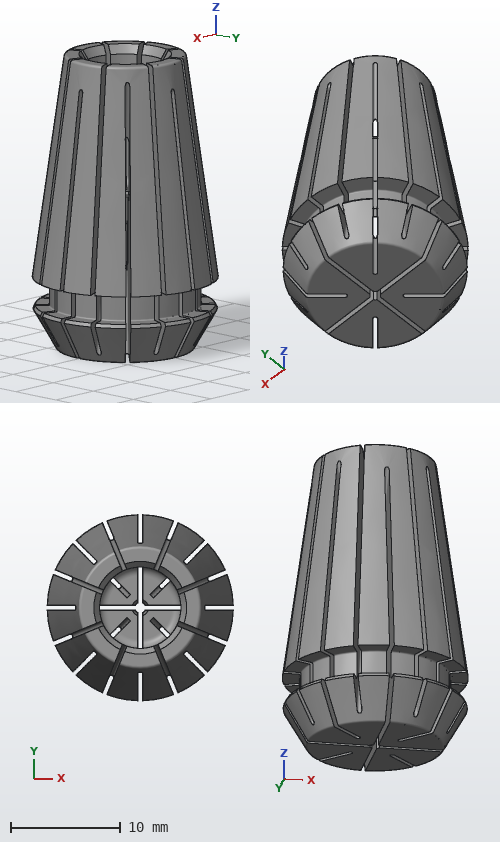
import cadquery as cq
import math


LENGTH = 27.5
BASE_RADIUS = 8.5
TAPER_ANGLE = 8.0
TAPER_BASE_Z = 6.68
NECK_RADIUS = 6.93
LIP_TOP_Z = 4.05
LIP_RADIUS = 8.42
LIP_EDGE_Z = 3.7
LIP_ANGLE = 30.0
EDGE_ROUND = 0.28
NECK_ROUND = 0.15

BORE_RADIUS = 3.7
BORE_FLOOR_Z = 14.46
FLOOR_ROUND = 0.77
MOUTH_RADIUS = 4.24
MOUTH_DEPTH = 0.85
PILOT_RADIUS = 0.5
PILOT_MOUTH_RADIUS = 0.75
PILOT_MOUTH_DEPTH = 1.1

SLOT_WIDTH = 0.45
CROSS_COUNT = 4
DIAGONAL_COUNT = 4
UPPER_COUNT = 8
REACH = 2 * LENGTH
CROSS_TOP_END = [(5.97, 25.25), (BORE_RADIUS, 21.42)]
DIAGONAL_TOP_END = [(5.8, 26.25), (1.45, 14.38)]
DIAGONAL_BOTTOM_END = [(0, 9.35), (2.55, 0)]
UPPER_BOTTOM_END = [(BORE_RADIUS, 15.68), (6.7, 0.65)]


def body():
    """Outer taper, neck and lip as one revolved solid."""
    top_radius = BASE_RADIUS - (LENGTH - TAPER_BASE_Z) * math.tan(math.radians(TAPER_ANGLE))
    lip_slope = math.tan(math.radians(LIP_ANGLE))
    lip_bottom_radius = LIP_RADIUS - LIP_EDGE_Z * lip_slope
    lip_top_radius = LIP_RADIUS - (LIP_TOP_Z - LIP_EDGE_Z) * lip_slope
    outline = [
        (0, 0),
        (lip_bottom_radius, 0),
        (LIP_RADIUS, LIP_EDGE_Z),
        (lip_top_radius, LIP_TOP_Z),
        (NECK_RADIUS, LIP_TOP_Z),
        (NECK_RADIUS, TAPER_BASE_Z),
        (BASE_RADIUS, TAPER_BASE_Z),
        (top_radius, LENGTH),
        (0, LENGTH),
    ]
    solid = cq.Workplane("XZ").polyline(outline).close().revolve(360, (0, 0), (0, 1))
    solid = solid.faces("<Z or >Z").edges().fillet(EDGE_ROUND)
    neck_corners = cq.selectors.BoxSelector(
        (-LENGTH, -LENGTH, LIP_TOP_Z - NECK_ROUND),
        (LENGTH, LENGTH, TAPER_BASE_Z + NECK_ROUND),
    )
    neck_edges = solid.edges(neck_corners).edges(cq.selectors.RadiusNthSelector(0))
    return solid.newObject(neck_edges.vals()).fillet(NECK_ROUND)


def bore():
    """Blind bore with conical mouth and rounded floor, plus the countersunk pilot hole."""
    corner = FLOOR_ROUND * (1 - math.sqrt(0.5))
    return (
        cq.Workplane("XZ")
        .lineTo(PILOT_RADIUS, 0)
        .lineTo(PILOT_RADIUS, BORE_FLOOR_Z - PILOT_MOUTH_DEPTH)
        .lineTo(PILOT_MOUTH_RADIUS, BORE_FLOOR_Z)
        .lineTo(BORE_RADIUS - FLOOR_ROUND, BORE_FLOOR_Z)
        .threePointArc(
            (BORE_RADIUS - corner, BORE_FLOOR_Z + corner),
            (BORE_RADIUS, BORE_FLOOR_Z + FLOOR_ROUND),
        )
        .lineTo(BORE_RADIUS, LENGTH - MOUTH_DEPTH)
        .lineTo(MOUTH_RADIUS, LENGTH)
        .lineTo(0, LENGTH)
        .close()
        .revolve(360, (0, 0), (0, 1))
    )


def slot_tool(end, rounded=True):
    """Thin slab in the XZ plane, ending in a ridge along the line through both points.

    The slab lies to the left when walking from the first point to the second, X right and Z up.
    """
    (start_r, start_z), (stop_r, stop_z) = end
    along = cq.Vector(stop_r - start_r, 0, stop_z - start_z)
    section = cq.Plane(origin=(start_r, 0, start_z), xDir=(0, 1, 0), normal=along.toTuple())
    half = SLOT_WIDTH / 2
    profile = cq.Workplane(section).moveTo(half, REACH)
    if rounded:
        profile = profile.lineTo(half, half).threePointArc((0, 0), (-half, half))
    else:
        profile = profile.lineTo(half, 0).lineTo(-half, 0)
    return profile.lineTo(-half, REACH).close().extrude(REACH, both=True)


def cut_around(solid, tool, count, first_angle):
    """Cut evenly spaced copies of a tool around the Z axis."""
    for i in range(count):
        angle = first_angle + i * 360 / count
        solid = solid.cut(tool.rotate((0, 0, 0), (0, 0, 1), angle))
    return solid


result = body().cut(bore())

result = cut_around(result, slot_tool(CROSS_TOP_END), CROSS_COUNT, 0)

core = cq.Workplane("XY").circle(BORE_RADIUS).extrude(BORE_FLOOR_Z)
square_top = slot_tool(DIAGONAL_TOP_END, rounded=False).intersect(core)
diagonal_tool = slot_tool(DIAGONAL_TOP_END).union(square_top).intersect(slot_tool(DIAGONAL_BOTTOM_END))
result = cut_around(result, diagonal_tool, DIAGONAL_COUNT, 180 / CROSS_COUNT)

result = cut_around(result, slot_tool(UPPER_BOTTOM_END), UPPER_COUNT, 180 / UPPER_COUNT)